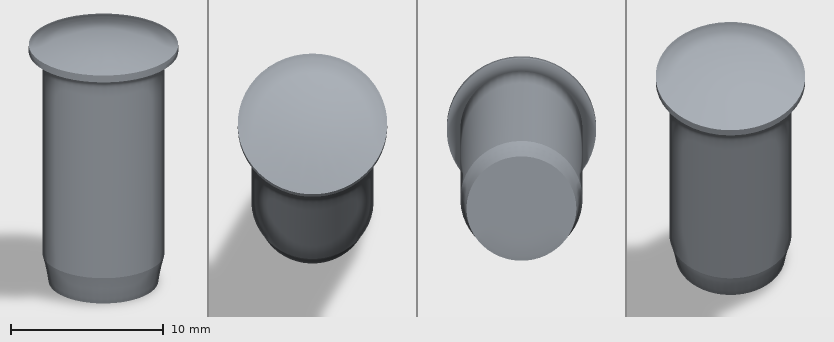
import cadquery as cq

total_height = 17.56
head_diameter = 9.8
shank_diameter = 8.0
tip_diameter = 7.2

tip_height = 2.0
rim_height = 0.5
dome_height = 0.56

tip_hollow = 0.04

head_radius = head_diameter / 2
shank_radius = shank_diameter / 2
tip_radius = tip_diameter / 2
rim_top = total_height - dome_height
rim_bottom = rim_top - rim_height

dome_radius = (head_radius**2 + dome_height**2) / (2 * dome_height)
dome_mid_radius = head_radius / 2
dome_mid_height = total_height - dome_radius + (dome_radius**2 - dome_mid_radius**2) ** 0.5

tip_mid_radius = (shank_radius + tip_radius) / 2 - tip_hollow

half_section = (
    cq.Workplane("XZ")
    .lineTo(tip_radius, 0)
    .threePointArc((tip_mid_radius, tip_height / 2), (shank_radius, tip_height))
    .lineTo(shank_radius, rim_bottom)
    .lineTo(head_radius, rim_bottom)
    .lineTo(head_radius, rim_top)
    .threePointArc((dome_mid_radius, dome_mid_height), (0, total_height))
    .close()
)
result = half_section.revolve(360, (0, 0, 0), (0, 1, 0))